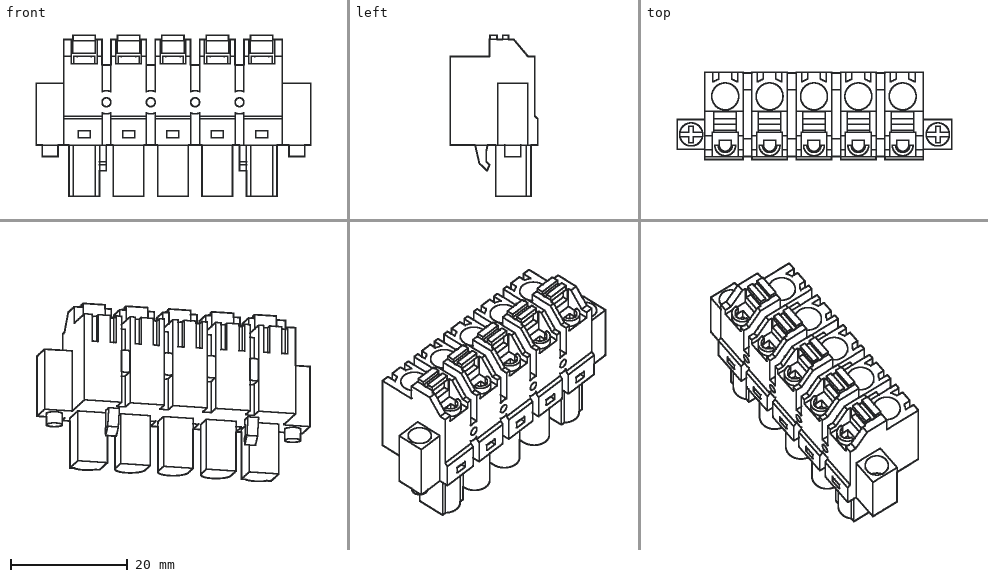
import cadquery as cq


total_length = 47.15
row_left_x = -18.85
row_right_x = 18.68
pole_count = 5
pole_span = 30.45
pitch = pole_span / (pole_count - 1)
row_shift = -0.1
pole_xs = [row_shift + (i - (pole_count - 1) / 2) * pitch for i in range(pole_count)]
gap_xs = [x + pitch / 2 for x in pole_xs[:-1]]

total_depth = 15.05
rear_y = total_depth / 2
nose_y = -total_depth / 2
nose_projection = 0.5
nose_rise = 0.45
front_y = nose_y + nose_projection
base_z = 8.8
nose_z = 13.35
shoulder_z = 24.05
tower_z = 26.98
tower_rear_y = 0.8
slope_top_y = -3.4
slope_foot_y = -5.85

gap_width = 1.5
web_front_y = -3.9
web_rear_y = 4.5
web_top_z = 22.6
bridge_z = 16.18
bridge_radius = 2.0
bridge_inset = 0.15
bridge_hole_radius = 0.75

wire_hole_radius = 2.3
wire_hole_y = 3.35
wire_hole_depth = 11.3
notch_outer_x = 2.1
notch_inner_x = 1.1
notch_outer_length = 1.7
notch_inner_length = 1.2
notch_depth = 4.7

pocket_width = 4.45
pocket_rear_y = -2.8
pocket_floor_z = 22.8
collar_y = -5.05
collar_outer_radius = 1.8
collar_inner_radius = 1.23
probe_radius = 1.05
probe_rear_y = -4.15
probe_depth = 1.9

window_width = 2.08
window_height = 1.23
window_z = 10.65
window_depth = 0.95

sleeve_radius = 2.65
sleeve_rear_y = -0.3
sleeve_front_y = -6.35
sleeve_axis_y = sleeve_front_y + sleeve_radius
corner_front_y = -5.55

hook_width = 1.9
hook_profile = [(3.25, base_z), (2.55, 5.7), (1.2, 4.4), (0.75, 5.4), (1.3, 6.0), (1.3, 7.7), (1.1, base_z)]

flange_front_y = -5.75
flange_depth = 5.15
flange_top_z = 19.5
screw_x = 21.17
screw_y = flange_front_y + flange_depth / 2
screw_tip_z = 6.85
screw_shank_radius = 1.35
screw_head_radius = 2.0
screw_seat_z = 11.8
screw_head_height = 2.35
drive_width = 0.75
drive_length = 2.8
drive_depth = 0.7

lever_width = 3.85
lever_sill_z = 24.55
lever_rear_y = 0.7
lever_face_y = -1.85
lever_top_z = 27.7
lip_bottom_z = 26.75
lip_front_y = -2.5
lip_rear_y = -1.45
rear_ridge_y = -0.5
groove_sag = 0.15


def block(x_min, x_max, y_min, y_max, z_min, z_max):
    """Box given by its limits along each axis."""
    return cq.Workplane("XY").box(
        x_max - x_min, y_max - y_min, z_max - z_min, centered=False
    ).translate((x_min, y_min, z_min))


def centered_block(x, width, y_min, y_max, z_min, z_max):
    """Box centred on x."""
    return block(x - width / 2, x + width / 2, y_min, y_max, z_min, z_max)


def post(x, y, radius, z_min, z_max):
    """Upright cylinder."""
    return cq.Workplane("XY", origin=(x, y, z_min)).circle(radius).extrude(z_max - z_min)


def beam(x, z, radius, y_min, y_max):
    """Cylinder lying along Y."""
    return cq.Workplane("XZ", origin=(x, y_max, z)).circle(radius).extrude(y_max - y_min)


def side_sketch(x_min):
    """Plane whose local axes are Y and Z, extruding toward +X."""
    return cq.Workplane("YZ", origin=(x_min, 0, 0))


def housing_core():
    outline = [
        (rear_y, base_z),
        (rear_y, shoulder_z),
        (tower_rear_y, shoulder_z),
        (tower_rear_y, tower_z),
        (slope_top_y, tower_z),
        (slope_foot_y, shoulder_z),
        (front_y, shoulder_z),
        (front_y, nose_z + nose_rise),
        (nose_y, nose_z),
        (nose_y, base_z),
    ]
    return side_sketch(row_left_x).polyline(outline).close().extrude(row_right_x - row_left_x)


def pole_gap(x):
    """Material removed between two poles, around the web and the bridge."""
    gap = centered_block(x, gap_width, nose_y, rear_y, base_z, tower_z)
    web = centered_block(x, gap_width, web_front_y, web_rear_y, base_z, web_top_z)
    bridge = beam(x, bridge_z, bridge_radius, front_y, rear_y - bridge_inset)
    blind_hole = beam(x, bridge_z, bridge_hole_radius, front_y, web_front_y)
    return gap.cut(web).cut(bridge).union(blind_hole)


def marker_notches(x):
    """Pair of slant-ended notches in the rear edge of a pole."""
    right = (
        cq.Workplane("XY", origin=(x, 0, shoulder_z - notch_depth))
        .polyline([
            (notch_inner_x, rear_y),
            (notch_outer_x, rear_y),
            (notch_outer_x, rear_y - notch_outer_length),
            (notch_inner_x, rear_y - notch_inner_length),
        ])
        .close()
        .extrude(notch_depth)
    )
    return right.union(right.mirror("YZ", (x, 0, 0)))


def half_post(x, radius, z_min, z_max):
    """Front half of an upright cylinder on the collar axis."""
    front_half = centered_block(x, 2 * radius, collar_y - radius, collar_y, z_min, z_max)
    return post(x, collar_y, radius, z_min, z_max).intersect(front_half)


def test_pocket(x):
    """Open-fronted pocket that leaves a half collar standing, with the probe well below."""
    probe_floor_z = pocket_floor_z - probe_depth
    pocket = centered_block(x, pocket_width, front_y, pocket_rear_y, pocket_floor_z, tower_z)
    collar = half_post(x, collar_outer_radius, pocket_floor_z, shoulder_z).cut(
        half_post(x, collar_inner_radius, pocket_floor_z, shoulder_z)
    )
    well = half_post(x, probe_radius, probe_floor_z, pocket_floor_z).union(
        centered_block(x, 2 * probe_radius, collar_y, probe_rear_y, probe_floor_z, pocket_floor_z)
    )
    return pocket.cut(collar).union(well)


def lever_slot(x):
    return centered_block(x, lever_width, pocket_rear_y, tower_rear_y, lever_sill_z, tower_z)


def wire_hole(x):
    return post(x, wire_hole_y, wire_hole_radius, shoulder_z - wire_hole_depth, shoulder_z)


def nose_window(x):
    z_min = window_z - window_height / 2
    return centered_block(x, window_width, nose_y, nose_y + window_depth, z_min, z_min + window_height)


def contact_sleeve(x):
    """Sleeve with a round front and a square back."""
    back = centered_block(x, 2 * sleeve_radius, sleeve_axis_y, sleeve_rear_y, 0, base_z)
    return post(x, sleeve_axis_y, sleeve_radius, 0, base_z).union(back)


def sleeve_corners(x):
    """Square shoulders that key the two end sleeves."""
    return centered_block(x, 2 * sleeve_radius, corner_front_y, sleeve_rear_y, 0, base_z)


def latch_hook(x_min):
    return side_sketch(x_min).polyline(hook_profile).close().extrude(hook_width)


def flange(side):
    row_end_x = row_right_x if side > 0 else row_left_x
    x_min, x_max = sorted((row_end_x, side * total_length / 2))
    return block(x_min, x_max, flange_front_y, flange_front_y + flange_depth, base_z, flange_top_z)


def screw_bore(side):
    bore = post(side * screw_x, screw_y, screw_head_radius, screw_seat_z, flange_top_z)
    return bore.union(post(side * screw_x, screw_y, screw_shank_radius, base_z, screw_seat_z))


def make_housing():
    body = housing_core()
    for x in gap_xs:
        body = body.cut(pole_gap(x))
    for x in pole_xs:
        for cutter in (wire_hole, marker_notches, test_pocket, lever_slot, nose_window):
            body = body.cut(cutter(x))
        body = body.union(contact_sleeve(x))
    for x in (pole_xs[0], pole_xs[-1]):
        body = body.union(sleeve_corners(x))
    for hook_x in (gap_xs[0] - hook_width, gap_xs[-1]):
        body = body.union(latch_hook(hook_x))
    for side in (-1, 1):
        body = body.union(flange(side)).cut(screw_bore(side))
    return body


def make_lever(x):
    """Lever with a lip overhanging its face and a shallow thumb groove on top."""
    return (
        side_sketch(x - lever_width / 2)
        .moveTo(lever_face_y, lever_sill_z)
        .lineTo(lever_rear_y, lever_sill_z)
        .lineTo(lever_rear_y, lever_top_z)
        .lineTo(rear_ridge_y, lever_top_z)
        .lineTo(rear_ridge_y, tower_z)
        .threePointArc(((rear_ridge_y + lip_rear_y) / 2, tower_z - groove_sag), (lip_rear_y, tower_z))
        .lineTo(lip_rear_y, lever_top_z)
        .lineTo(lip_front_y, lever_top_z)
        .lineTo(lip_front_y, lip_bottom_z)
        .lineTo(lever_face_y, lip_bottom_z)
        .close()
        .extrude(lever_width)
    )


def make_screw(side):
    """Fixing screw with a cross drive: one slot across the whole head, one shorter."""
    x = side * screw_x
    head_top_z = screw_seat_z + screw_head_height
    drive_floor_z = head_top_z - drive_depth
    screw = post(x, screw_y, screw_shank_radius, screw_tip_z, screw_seat_z)
    screw = screw.union(post(x, screw_y, screw_head_radius, screw_seat_z, head_top_z))
    for length_x, length_y in ((2 * screw_head_radius, drive_width), (drive_width, drive_length)):
        y_min = screw_y - length_y / 2
        screw = screw.cut(
            centered_block(x, length_x, y_min, y_min + length_y, drive_floor_z, head_top_z)
        )
    return screw


housing = make_housing()
levers = [make_lever(x) for x in pole_xs]
screws = [make_screw(side) for side in (-1, 1)]

result = cq.Compound.makeCompound(
    [housing.val()] + [lever.val() for lever in levers] + [screw.val() for screw in screws]
)